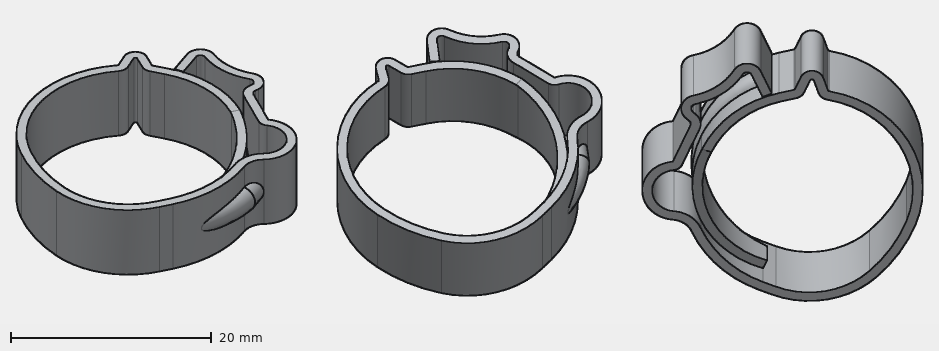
import cadquery as cq
import math


strip_width = 8.0
thickness = 1.0
half_thickness = thickness / 2
overlap_gap = 0.05

tongue_radius = 11.025
band_radius = tongue_radius + thickness + overlap_gap
overlap_angle = 44.4
leg_radius = 2.7

tongue_end_width = 2.8
taper_angle = 91.0

ridge_tube_radius = 1.5
band_ridge_center = (-0.4, 2.33)
band_ridge_radius = 12.6
band_ridge_height = 1.2
band_ridge_end_angle = 13.0
tongue_ridge_center = (-0.76, 0.23)
tongue_ridge_radius = 11.72


def polar(radius, angle, center=(0, 0)):
    a = math.radians(angle)
    return center[0] + radius * math.cos(a), center[1] + radius * math.sin(a)


def trace(start, heading, moves):
    """Follow straights (length,) and bends (radius, angle) that join smoothly; left bends are positive.

    Returns the pieces as (points, headings), sampled at the start, middle and end of each.
    """
    pieces = []
    point = start
    for move in moves:
        if len(move) == 1:
            headings = [heading] * 3
            points = [polar(move[0] * step, heading, point) for step in (0, 0.5, 1)]
        else:
            radius, angle = move
            side = math.copysign(90, angle)
            center = polar(radius, heading + side, point)
            headings = [heading + angle * step for step in (0, 0.5, 1)]
            points = [polar(radius, h - side, center) for h in headings]
        pieces.append((points, headings))
        point, heading = points[-1], headings[-1]
    return pieces


def beside(points, headings, offset):
    """Points moved to the left of their headings."""
    return [polar(offset, h + 90, p) for p, h in zip(points, headings)]


def strip(pieces):
    """The strip along a traced centreline, with its full width and thickness."""
    right = [beside(points, headings, -half_thickness) for points, headings in pieces]
    left = [beside(points, headings, half_thickness) for points, headings in pieces]
    outline = cq.Workplane("XY").moveTo(*right[0][0])
    for start, middle, end in right:
        outline = outline.threePointArc(middle, end) if is_bent(start, middle, end) else outline.lineTo(*end)
    outline = outline.lineTo(*left[-1][2])
    for start, middle, end in reversed(left):
        outline = outline.threePointArc(middle, start) if is_bent(start, middle, end) else outline.lineTo(*start)
    return outline.close().extrude(strip_width / 2, both=True)


def is_bent(start, middle, end):
    sag = math.dist(middle, ((start[0] + end[0]) / 2, (start[1] + end[1]) / 2))
    return sag > 1e-6


def ring(radius, center):
    """A torus whose outermost circle has the given radius."""
    axis_radius = radius - ridge_tube_radius
    torus = cq.Solid.makeTorus(axis_radius, ridge_tube_radius)
    return cq.Workplane(torus).translate((*center, 0))


ear_pieces = trace((band_radius, 0), 90, [
    (band_radius, overlap_angle),
    (leg_radius, -62.35),
    (2.87, 169.2),
    (0.55, -61.3),
    (4.42,),
    (1.055, -70.0),
    (0.355,),
    (1.046, 124.6),
    (6.813, -47.0),
    (0.978, 126.3),
    (2.795,),
])

ring_moves = [
    (tongue_radius, 89.62),
    (10.873, 53.43),
    (1.51,),
    (0.695, -52.5),
    (1.499,),
    (0.691, 138.75),
    (1.475,),
    (0.703, -60.9),
    (11.062, 98.95),
    (16.142, 25.13),
]
ring_pieces = trace((tongue_radius, 0), 90, ring_moves)

(last_x, last_y), last_heading = ring_pieces[-1][0][2], ring_pieces[-1][1][2] - 360
closing_radius = (band_radius - last_x) / (1 - math.sin(math.radians(last_heading)))
closing_straight = -last_y - closing_radius * math.cos(math.radians(last_heading))
closing_moves = [(closing_radius, 90 - last_heading), (closing_straight,)]
ring_pieces += trace((last_x, last_y), last_heading, closing_moves)


def taper_cutter():
    """Helical block that trims the upper edge of the tongue from full width down to its tip."""
    rise = (strip_width - tongue_end_width) / 2
    clearance = thickness + overlap_gap
    path = cq.Wire.makeHelix(rise * 360 / taper_angle, rise, tongue_radius)
    profile = cq.Workplane("XZ").center(tongue_radius, rise / 2 + 1).rect(clearance, rise + 2)
    block = profile.sweep(cq.Workplane(path), isFrenet=True)
    return block.translate((0, 0, tongue_end_width / 2))


def band_ridge():
    """Bead on the outside of the band, running straight into the foot of the ear."""
    foot = polar(band_radius + half_thickness + band_ridge_height, overlap_angle)
    fade = polar(band_radius + half_thickness, band_ridge_end_angle)
    middle_direction = math.degrees(math.atan2(
        (foot[1] + fade[1]) / 2 - band_ridge_center[1], (foot[0] + fade[0]) / 2 - band_ridge_center[0]))
    leg_center = polar(band_radius + leg_radius, overlap_angle)
    leg_foot = polar(band_radius, overlap_angle)
    leg_middle = polar(leg_radius, overlap_angle + 180 - 28, leg_center)
    leg_top = polar(leg_radius, overlap_angle + 180 - 56, leg_center)
    reach = 3.0
    curved_outline = (
        cq.Workplane("XY").moveTo(*leg_foot)
        .lineTo(*foot)
        .lineTo(*polar(band_ridge_radius + 1, middle_direction, band_ridge_center))
        .lineTo(*polar(band_radius + thickness, band_ridge_end_angle))
        .lineTo(*polar(band_radius, band_ridge_end_angle))
        .threePointArc(polar(band_radius, (overlap_angle + band_ridge_end_angle) / 2), leg_foot)
        .close().extrude(strip_width / 2, both=True)
    )
    straight_outline = (
        cq.Workplane("XY").moveTo(*leg_foot)
        .threePointArc(leg_middle, leg_top)
        .lineTo(*polar(reach, overlap_angle + 90, foot))
        .lineTo(*foot)
        .close().extrude(strip_width / 2, both=True)
    )
    axis_start = polar(ridge_tube_radius, overlap_angle + 180, foot)
    along = polar(1, overlap_angle + 90)
    bar = cq.Solid.makeCylinder(ridge_tube_radius, reach, cq.Vector(*axis_start), cq.Vector(*along))
    curved = ring(band_ridge_radius, band_ridge_center).intersect(curved_outline)
    return curved.union(cq.Workplane(bar).intersect(straight_outline))


def make_band():
    trim = taper_cutter()
    tongue_side = strip(ring_pieces).cut(trim).cut(trim.mirror("XY"))
    return tongue_side.union(strip(ear_pieces)).union(band_ridge()).clean()


def make_tongue_ridge(band):
    """Crescent bead on the outside of the tongue, starting against the hook."""
    points, headings = ear_pieces[-1]
    hook_top, _, hook_tip = beside(points, headings, half_thickness)
    tongue_core = cq.Workplane("XY").circle(tongue_radius).extrude(strip_width / 2, both=True)
    under_ear = (
        cq.Workplane("XY")
        .polyline([(0, 0), hook_tip, hook_top, (0, 2 * tongue_radius), polar(2 * tongue_radius, 50)])
        .close().extrude(strip_width / 2, both=True)
    )
    bead = ring(tongue_ridge_radius, tongue_ridge_center).intersect(under_ear)
    return bead.cut(tongue_core).cut(band)


band = make_band()
tongue_ridge = make_tongue_ridge(band)

result = cq.Compound.makeCompound([*band.solids().vals(), *tongue_ridge.solids().vals()])